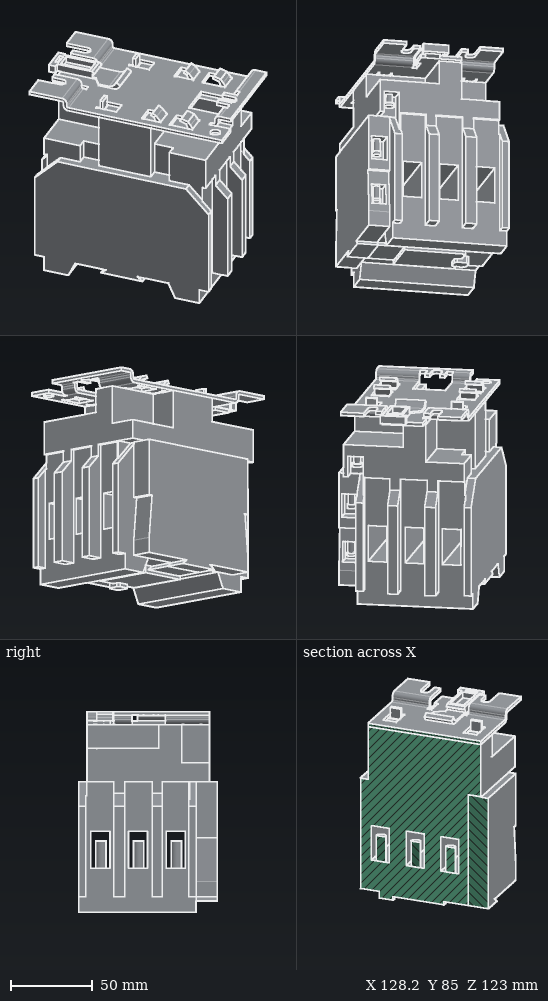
import cadquery as cq
import math

BASE_Z = 9.6
LOWER_TOP_Z = 80.1
HOUSING_TOP_Z = 115.0
FRONT_Y = -42.7
REAR_Y = 29.2
SIDES = (-1, 1)

BODY_HALF_X = 53.3
BODY_HALF_Y = 37.6
CORE_REAR_Y = 25.4
WALL_HALF_X = 57.5
WALL_CHAMFER = 15.0
REAR_WALL_Y = 24.6
RIB_HALF_X = 61.3
PANEL_HALF_X = 51.3
RIB_SLOPE_Z = LOWER_TOP_Z - WALL_CHAMFER
RIBS_Y = [(-21.3, -14.5), (2.3, 8.6)]
FRONT_PANEL_Y = -38.3
PANELS_Y = [
    (FRONT_PANEL_Y, RIBS_Y[0][0]),
    (RIBS_Y[0][1], RIBS_Y[1][0]),
    (RIBS_Y[1][1], REAR_WALL_Y),
]

FOOT_INNER_X = 35.3
FOOT_TOP_INNER_X = 30.8
DOVETAIL_Z = 6.9
DOVETAIL_TOP_HALF = 10.4
DOVETAIL_BOTTOM_HALF = 13.7

RAIL_X = (-14.4, 15.9)
RAIL_Y = (-25.6, 12.8)
RAIL_Z = 4.9
STUD_SIZE = 9.2
STUD_CHAMFER = 1.5
STUD_Z = 2.6

BRIDGE_HALF_X = 17.2
HIGH_FLOOR_Z = 100.4
LOW_FLOOR_Z = 91.7
NOTCH_X = 29.5
NOTCH_Y = -31.5

POLE_PITCH = 23.1
WINDOW_MID_Y = -6.3
WINDOW_WIDTH = 11.5
WINDOW_Z = (27.2, 49.6)
POST_MID_Y = -5.9
POST_RADIUS = 3.2
POST_HEIGHT = 16.7

AUX_HALF_X = 43.6
AUX_REAR_Y = 42.3
AUX_STEP = 2.6
AUX_STEP_Z = 45.6
AUX_SLOPE_END_Z = 19.1

POCKET_DEPTH = 10.3
SCREW_INSET = 6.9

SHEET = 2.2
PLATE_TOP_Z = HOUSING_TOP_Z + SHEET
RAISED_TOP_Z = 123.0
SHEET_Z = (HOUSING_TOP_Z, PLATE_TOP_Z)
RAISED_Z = (RAISED_TOP_Z - SHEET, RAISED_TOP_Z)
BEND_INNER = 1.0
BEND_OUTER = BEND_INNER + SHEET
TAB_END_X = -63.0
TAB_INNER_Y = 13.1
TAB_RISER_X = -38.3
TAB_LIP_X = -56.3
TAB_SLOT_Y = (17.0, 23.1)
TAB_SLOT_END_X = -46.2
CENTRE_TAB_X = -57.6
CENTRE_TAB_HALF_Y = 12.7
RELIEF_INNER_Y = 10.3
FLAT_LEFT_X = -35.3
RELIEF_X = (-45.6, FLAT_LEFT_X)
FLAT_RIGHT_X = 50.0
FLANGE_RISER_X = 52.7
FLANGE_END_X = 63.2
FLANGE_FRONT_Y = -21.0
OPENING_X = (31.0, 56.4)
OPENING_Y = (-9.9, 10.5)
FINGER_X = 48.0
FINGER_INNER_Y = 3.2
FINGER_OUTER_Y = 6.2
NOTCH_CENTRE_X = 55.1
LUG_END_X = 64.1
LUG_REAR_Y = -23.2
LUG_HOLE = (56.8, -30.3)
LUG_HOLE_RADIUS = 3.1

LANCE_ROW_Y = 26.7
STOP_HOLE_X = (-21.7, -8.2)
STOP_HOLE_HALF_Y = 4.4
STOP_HALF_Y = 3.5
STOP_FACE_X = -17.5
STOP_THICKNESS = 1.9
STOP_TOP_Z = 122.1
HOOK_HALF_Y = 5.0
SMALL_HOOK_HOLE_X = (9.0, 21.4)
SMALL_HOOK_HOLE_HALF_Y = 5.5
LARGE_HOOK_HOLE_X = (27.5, 42.6)
LARGE_HOOK_HOLE_HALF_Y = 6.0

CLIP_LEFT_X = -64.1
CLIP_TOP_Z = 122.1
CLIP_HEAD_X = -59.8
CLIP_HEAD_Y = (-3.1, 12.7)
CLIP_Y = (-0.4, 11.5)
CLIP_SHEET = 1.0
CLIP_FRAME_X = -36.7
CLIP_LIP_X = -35.0
CLIP_LIP_Z = 120.8
CLIP_POCKET_X = (-57.8, -38.6)
CLIP_POCKET_Y = (1.0, 9.7)
CLIP_SLOT_X = (-61.9, -59.8)
CLIP_SLOT_Y = (1.9, 9.4)
CLIP_SLOT_DEPTH = 2.6
CLIP_CATCH_Y = (1.2, 10.3)
TONGUE_FRONT_Y = -6.7
TONGUE_SLANT_X = (-34.0, -29.9)
CURL_START_X = -23.1
CURL_LOWER_START_X = -18.7
CURL_TIP_X = (-18.2, -15.5)
CURL_LOWER_TIP_Z = 120.4
CURL_UPPER_MID = (-20.0, 119.5)
CURL_LOWER_MID = (-16.7, 118.5)


def box(x, y, z):
    """Box spanning the given (low, high) ranges."""
    size = (x[1] - x[0], y[1] - y[0], z[1] - z[0])
    return cq.Workplane("XY").box(*size, centered=False).translate((x[0], y[0], z[0]))


def along_y(points, y):
    """Closed XZ outline extruded over the given Y range."""
    outline = cq.Workplane("XZ", origin=(0, y[1], 0)).polyline(points).close()
    return outline.extrude(y[1] - y[0])


def upright_cylinder(x, y, z, radius):
    """Cylinder along Z with its seam on the -X side."""
    disc = cq.Workplane("XY").circle(radius).extrude(z[1] - z[0])
    return disc.rotate((0, 0, 0), (0, 0, 1), 180).translate((x, y, z[0]))


def mirrored(points):
    """Complete a half outline (given on the -X side) with its mirror image about X = 0."""
    return points + [(-x, z) for x, z in reversed(points)]


def mirror_x(part):
    return part.mirror("YZ")


def mirror_y(part):
    return part.mirror("XZ")


def add_terminal(
    part, face_x, pocket_y, pocket_z, screw_y, shaft_z, shaft_radius, head_bottom_z, head_radius
):
    """Cut a terminal pocket into the -X end and hang a headed screw from its roof."""
    pocket = box((-face_x, -face_x + POCKET_DEPTH), pocket_y, pocket_z)
    screw_x = -face_x + SCREW_INSET
    shaft = upright_cylinder(screw_x, screw_y, (shaft_z, pocket_z[1]), shaft_radius)
    head = upright_cylinder(screw_x, screw_y, (head_bottom_z, shaft_z), head_radius)
    screw = shaft.union(head)
    return part.cut(pocket).union(screw)


def dovetail(y):
    half = [(-DOVETAIL_TOP_HALF, BASE_Z), (-DOVETAIL_BOTTOM_HALF, DOVETAIL_Z)]
    return along_y(mirrored(half), y)


def lower_housing():
    body = box((-BODY_HALF_X, BODY_HALF_X), (-BODY_HALF_Y, CORE_REAR_Y), (BASE_Z, LOWER_TOP_Z))
    wall = mirrored([
        (-WALL_HALF_X, BASE_Z),
        (-WALL_HALF_X, RIB_SLOPE_Z),
        (-WALL_HALF_X + WALL_CHAMFER, LOWER_TOP_Z),
    ])
    for wall_y in [(FRONT_Y, -BODY_HALF_Y), (REAR_WALL_Y, REAR_Y)]:
        body = body.union(along_y(wall, wall_y))
    rib = mirrored([
        (-RIB_HALF_X, BASE_Z),
        (-RIB_HALF_X, RIB_SLOPE_Z),
        (-BODY_HALF_X, RIB_SLOPE_Z + RIB_HALF_X - BODY_HALF_X),
    ])
    for rib_y in RIBS_Y:
        body = body.union(along_y(rib, rib_y))
    for panel_y in PANELS_Y:
        recess = box((-RIB_HALF_X, -PANEL_HALF_X), panel_y, (BASE_Z, LOWER_TOP_Z))
        body = body.cut(recess).cut(mirror_x(recess))
    return body


def mounting_underside():
    foot = along_y(
        [(-PANEL_HALF_X, 0), (-FOOT_INNER_X, 0), (-FOOT_TOP_INNER_X, BASE_Z), (-PANEL_HALF_X, BASE_Z)],
        (FRONT_Y, REAR_Y),
    )
    rail = box(RAIL_X, RAIL_Y, (RAIL_Z, BASE_Z))
    stud = cq.Workplane("XY").rect(STUD_SIZE, STUD_SIZE).extrude(DOVETAIL_Z - STUD_Z)
    stud = stud.edges("|Z").chamfer(STUD_CHAMFER).translate((0, RAIL_Y[0], STUD_Z))
    return foot.union(mirror_x(foot)).union(dovetail((FRONT_Y, REAR_Y))).union(rail).union(stud)


def upper_housing():
    body = box((-BODY_HALF_X, BODY_HALF_X), (-BODY_HALF_Y, BODY_HALF_Y), (LOWER_TOP_Z, HOUSING_TOP_Z))
    left = (-BODY_HALF_X, -BRIDGE_HALF_X)
    right = (BRIDGE_HALF_X, BODY_HALF_X)
    corner_cuts = [
        (left, (0.4, BODY_HALF_Y), HIGH_FLOOR_Z),
        (left, (-BODY_HALF_Y, -13.7), LOW_FLOOR_Z),
        (right, (-BODY_HALF_Y, 6.4), HIGH_FLOOR_Z),
        (right, (20.5, BODY_HALF_Y), LOW_FLOOR_Z),
    ]
    for x, y, floor_z in corner_cuts:
        body = body.cut(box(x, y, (floor_z, HOUSING_TOP_Z)))
    notch = box((-NOTCH_X, -BRIDGE_HALF_X), (-BODY_HALF_Y, NOTCH_Y), (LOWER_TOP_Z, HOUSING_TOP_Z))
    return body.cut(notch).cut(mirror_x(notch))


def pole_positions(middle_y):
    return [middle_y + step * POLE_PITCH for step in (-1, 0, 1)]


def make_housing():
    body = lower_housing().union(mounting_underside()).union(upper_housing())
    for y in pole_positions(WINDOW_MID_Y):
        sides = (y - WINDOW_WIDTH / 2, y + WINDOW_WIDTH / 2)
        body = body.cut(box((-RIB_HALF_X, RIB_HALF_X), sides, WINDOW_Z))
    return add_terminal(
        body, BODY_HALF_X, pocket_y=(CORE_REAR_Y, 34.9), pocket_z=(LOWER_TOP_Z, 93.1), screw_y=30.3,
        shaft_z=87.5, shaft_radius=2.0, head_bottom_z=85.5, head_radius=3.1,
    )


def make_post(y):
    return upright_cylinder(0, y, (WINDOW_Z[0], WINDOW_Z[0] + POST_HEIGHT), POST_RADIUS)


def make_aux_block():
    depth = (REAR_Y, AUX_REAR_Y)
    half = [
        (-AUX_HALF_X, BASE_Z),
        (-AUX_HALF_X, AUX_SLOPE_END_Z),
        (-AUX_HALF_X + AUX_STEP, AUX_STEP_Z),
        (-AUX_HALF_X, AUX_STEP_Z),
        (-AUX_HALF_X, LOWER_TOP_Z),
    ]
    block = along_y(mirrored(half), depth).union(dovetail(depth))
    block = add_terminal(
        block, AUX_HALF_X, pocket_y=(30.8, 40.6), pocket_z=(52.3, 67.0), screw_y=35.8,
        shaft_z=59.2, shaft_radius=2.0, head_bottom_z=56.8, head_radius=2.6,
    )
    return add_terminal(
        block, AUX_HALF_X, pocket_y=(31.3, 40.1), pocket_z=(24.1, 36.7), screw_y=35.9,
        shaft_z=28.6, shaft_radius=2.0, head_bottom_z=27.0, head_radius=2.7,
    )


def joggled_sheet(riser_x, toward, raised_x, flat_x, y):
    """Sheet stepping from plate level to raised level; `toward` is the X sign of its raised end."""
    mid = math.sqrt(0.5)
    top_x = riser_x + toward * BEND_OUTER
    low_x = riser_x - toward * BEND_INNER
    top_z = RAISED_TOP_Z - BEND_OUTER
    low_z = PLATE_TOP_Z + BEND_INNER
    back_x = riser_x + toward * SHEET

    def top_bend(radius):
        return (top_x - toward * radius * mid, top_z + radius * mid)

    def low_bend(radius):
        return (low_x + toward * radius * mid, low_z - radius * mid)

    outline = (
        cq.Workplane("XZ", origin=(0, y[1], 0))
        .moveTo(raised_x, RAISED_TOP_Z)
        .lineTo(top_x, RAISED_TOP_Z)
        .threePointArc(top_bend(BEND_OUTER), (riser_x, top_z))
        .lineTo(riser_x, low_z)
        .threePointArc(low_bend(BEND_INNER), (low_x, PLATE_TOP_Z))
        .lineTo(flat_x, PLATE_TOP_Z)
        .lineTo(flat_x, HOUSING_TOP_Z)
        .lineTo(low_x, HOUSING_TOP_Z)
        .threePointArc(low_bend(BEND_OUTER), (back_x, low_z))
        .lineTo(back_x, top_z)
        .threePointArc(top_bend(BEND_INNER), (top_x, RAISED_TOP_Z - SHEET))
        .lineTo(raised_x, RAISED_TOP_Z - SHEET)
        .close()
    )
    return outline.extrude(y[1] - y[0])


def slotted_tab():
    """Raised +Y tab with an open-ended slot and a shorter inner lip."""
    tab = joggled_sheet(TAB_RISER_X, -1, TAB_END_X, FLAT_LEFT_X, (TAB_INNER_Y, BODY_HALF_Y))
    radius = (TAB_SLOT_Y[1] - TAB_SLOT_Y[0]) / 2
    slot_x = TAB_SLOT_END_X - radius
    slot = box((TAB_END_X, slot_x), TAB_SLOT_Y, RAISED_Z)
    slot_end = upright_cylinder(slot_x, TAB_SLOT_Y[0] + radius, RAISED_Z, radius)
    lip_end = box((TAB_END_X, TAB_LIP_X), (TAB_INNER_Y, TAB_SLOT_Y[0]), RAISED_Z)
    return tab.cut(slot).cut(slot_end).cut(lip_end)


def flange():
    """Raised +X flange with its riser cut away over the opening, where two fingers frame a notch."""
    strip = joggled_sheet(
        FLANGE_RISER_X, 1, FLANGE_END_X, FLAT_RIGHT_X, (FLANGE_FRONT_Y, BODY_HALF_Y)
    )
    strip = strip.cut(box(OPENING_X, OPENING_Y, (HOUSING_TOP_Z, RAISED_TOP_Z)))
    strip = strip.cut(upright_cylinder(NOTCH_CENTRE_X, 0, RAISED_Z, FINGER_INNER_Y))
    finger = box((FINGER_X, OPENING_X[1]), (FINGER_INNER_Y, FINGER_OUTER_Y), RAISED_Z)
    return strip.union(finger).union(mirror_y(finger))


def flat_sheet():
    sheet = box((FLAT_LEFT_X, FLAT_RIGHT_X), (-BODY_HALF_Y, BODY_HALF_Y), SHEET_Z)
    centre_tab_y = (-CENTRE_TAB_HALF_Y, CENTRE_TAB_HALF_Y)
    sheet = sheet.union(box((CENTRE_TAB_X, FLAT_LEFT_X), centre_tab_y, SHEET_Z))
    relief = box(RELIEF_X, (RELIEF_INNER_Y, CENTRE_TAB_HALF_Y), SHEET_Z)
    lug = box((FLAT_RIGHT_X, LUG_END_X), (-BODY_HALF_Y, LUG_REAR_Y), SHEET_Z)
    lug = lug.cut(upright_cylinder(*LUG_HOLE, SHEET_Z, LUG_HOLE_RADIUS))
    sheet = sheet.cut(relief).cut(mirror_y(relief)).union(lug)
    return sheet.cut(box(OPENING_X, OPENING_Y, SHEET_Z))


def lances():
    """One row of lances: each is (hole X range, hole half width, lance half width, outline)."""
    stop = [
        (STOP_HOLE_X[0], HOUSING_TOP_Z),
        (STOP_FACE_X, HOUSING_TOP_Z),
        (STOP_FACE_X, STOP_TOP_Z),
        (STOP_FACE_X - STOP_THICKNESS, STOP_TOP_Z),
        (STOP_FACE_X - STOP_THICKNESS, PLATE_TOP_Z),
        (STOP_HOLE_X[0], PLATE_TOP_Z),
    ]
    small_hook = [
        (SMALL_HOOK_HOLE_X[1], HOUSING_TOP_Z),
        (SMALL_HOOK_HOLE_X[1], PLATE_TOP_Z),
        (18.5, 120.5),
        (16.0, 122.2),
        (14.9, 120.4),
        (16.9, 119.5),
        (18.7, HOUSING_TOP_Z),
    ]
    large_hook = [
        (LARGE_HOOK_HOLE_X[1], HOUSING_TOP_Z),
        (LARGE_HOOK_HOLE_X[1], PLATE_TOP_Z),
        (40.9, 119.5),
        (39.4, 121.4),
        (34.9, 122.7),
        (34.0, 120.9),
        (38.2, 119.5),
        (40.0, HOUSING_TOP_Z),
    ]
    return [
        (STOP_HOLE_X, STOP_HOLE_HALF_Y, STOP_HALF_Y, stop),
        (SMALL_HOOK_HOLE_X, SMALL_HOOK_HOLE_HALF_Y, HOOK_HALF_Y, small_hook),
        (LARGE_HOOK_HOLE_X, LARGE_HOOK_HOLE_HALF_Y, HOOK_HALF_Y, large_hook),
    ]


def make_cover_plate():
    tab = slotted_tab()
    plate = flat_sheet().union(tab).union(mirror_y(tab)).union(flange())
    for side in SIDES:
        y = side * LANCE_ROW_Y
        for hole_x, hole_half_y, lance_half_y, outline in lances():
            plate = plate.cut(box(hole_x, (y - hole_half_y, y + hole_half_y), SHEET_Z))
            plate = plate.union(along_y(outline, (y - lance_half_y, y + lance_half_y)))
    return plate


def clip_frame():
    """Head and open-topped frame, ending in an overhanging lip, with a catch over the plate edge."""
    head = box((CLIP_LEFT_X, CLIP_HEAD_X), CLIP_HEAD_Y, (PLATE_TOP_Z, CLIP_TOP_Z))
    frame = along_y([
        (CLIP_HEAD_X, PLATE_TOP_Z),
        (CLIP_FRAME_X, PLATE_TOP_Z),
        (CLIP_FRAME_X, CLIP_LIP_Z - CLIP_SHEET),
        (CLIP_LIP_X, CLIP_LIP_Z),
        (CLIP_FRAME_X, CLIP_TOP_Z),
        (CLIP_HEAD_X, CLIP_TOP_Z),
    ], CLIP_Y)
    pocket = box(CLIP_POCKET_X, CLIP_POCKET_Y, (PLATE_TOP_Z + CLIP_SHEET, CLIP_TOP_Z))
    slot = box(CLIP_SLOT_X, CLIP_SLOT_Y, (CLIP_TOP_Z - CLIP_SLOT_DEPTH, CLIP_TOP_Z))
    catch = along_y([
        (CLIP_HEAD_X, PLATE_TOP_Z),
        (CENTRE_TAB_X, PLATE_TOP_Z),
        (CENTRE_TAB_X, HOUSING_TOP_Z),
    ], CLIP_CATCH_Y)
    return head.union(frame).cut(pocket).cut(slot).union(catch)


def clip_tongue():
    """Thin tongue, slanted out on its -Y side, that curls up at its +X end."""
    side = (
        cq.Workplane("XZ", origin=(0, CLIP_Y[1], 0))
        .moveTo(CLIP_FRAME_X, PLATE_TOP_Z)
        .lineTo(CURL_LOWER_START_X, PLATE_TOP_Z)
        .threePointArc(CURL_LOWER_MID, (CURL_TIP_X[1], CURL_LOWER_TIP_Z))
        .lineTo(CURL_TIP_X[0], CLIP_TOP_Z)
        .threePointArc(CURL_UPPER_MID, (CURL_START_X, PLATE_TOP_Z + CLIP_SHEET))
        .lineTo(CLIP_FRAME_X, PLATE_TOP_Z + CLIP_SHEET)
        .close()
        .extrude(CLIP_Y[1] - TONGUE_FRONT_Y)
    )
    corner = [
        (CLIP_FRAME_X, CLIP_Y[0]),
        (TONGUE_SLANT_X[0], CLIP_Y[0]),
        (TONGUE_SLANT_X[1], TONGUE_FRONT_Y),
        (CLIP_FRAME_X, TONGUE_FRONT_Y),
    ]
    corner_cut = cq.Workplane("XY", origin=(0, 0, PLATE_TOP_Z)).polyline(corner).close()
    return side.cut(corner_cut.extrude(CLIP_SHEET))


def make_clip():
    return clip_frame().union(clip_tongue())


housing = make_housing()
aux_block = make_aux_block()
cover_plate = make_cover_plate()
clip = make_clip()
posts = [make_post(y) for y in pole_positions(POST_MID_Y)]

result = cq.Compound.makeCompound([
    housing.val(),
    aux_block.val(),
    cover_plate.val(),
    clip.val(),
    *[post.val() for post in posts],
])